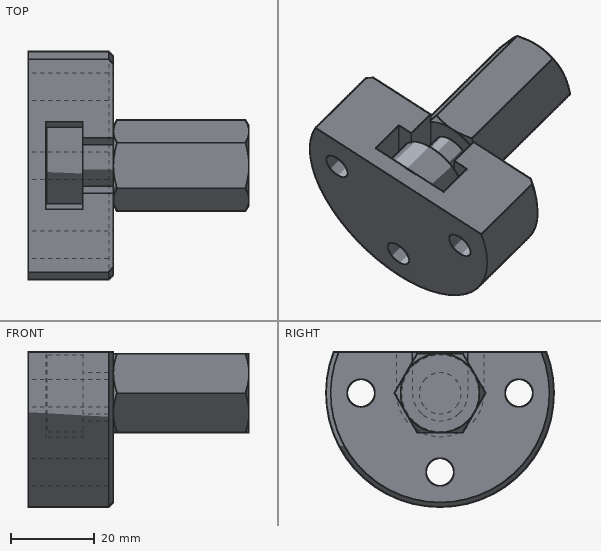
import cadquery as cq
import math

overall_length = 53.2

plate_diameter = 54.95
plate_radius = plate_diameter / 2
plate_thickness = 20.55
flat_height = 9.9
rim_chamfer = 1.15

hole_diameter = 6.6
hole_circle_radius = 19.0
hole_angles = (0, 180, 270)

back_wall = 4.3
head_slot_width = 21.0
head_slot_length = 8.9
neck_slot_width = 13.3

head_diameter = 18.5
head_gap = 0.2
neck_diameter = 10.0
hex_sides = 6
hex_across_flats = 19.0
hex_length = overall_length - plate_thickness
hex_chamfer_angle = 30.0

neck_start = back_wall + head_slot_length
neck_length = plate_thickness - neck_start
head_start = back_wall + head_gap
head_length = neck_start - head_start


def rod(diameter, start, length):
    """Cylinder on the X axis from x = start."""
    return cq.Workplane("YZ", origin=(start, 0, 0)).circle(diameter / 2).extrude(length)


def slot(width, start, length):
    """Slot with a round bottom on the axis and straight sides up to the flat."""
    channel = (
        cq.Workplane("YZ", origin=(start, 0, 0))
        .center(0, flat_height / 2)
        .rect(width, flat_height)
        .extrude(length)
    )
    return rod(width, start, length).union(channel)


def make_plate():
    disc = rod(plate_diameter, 0, plate_thickness).faces(">X").chamfer(rim_chamfer)
    above_flat = (
        cq.Workplane("XY", origin=(plate_thickness / 2, 0, flat_height))
        .rect(plate_thickness, plate_diameter)
        .extrude(plate_radius)
    )
    hole_points = [
        (
            hole_circle_radius * math.cos(math.radians(angle)),
            hole_circle_radius * math.sin(math.radians(angle)),
        )
        for angle in hole_angles
    ]
    holes = (
        cq.Workplane("YZ")
        .pushPoints(hole_points)
        .circle(hole_diameter / 2)
        .extrude(plate_thickness)
    )
    return (
        disc.cut(slot(head_slot_width, back_wall, head_slot_length))
        .cut(slot(neck_slot_width, neck_start, neck_length))
        .cut(above_flat)
        .cut(holes)
    )


def make_hex_shank():
    """Hexagon with flats at top and bottom, its corners coned off at both ends."""
    across_corners = hex_across_flats / math.cos(math.pi / hex_sides)
    hexagon = (
        cq.Workplane("YZ", origin=(plate_thickness, 0, 0))
        .polygon(hex_sides, across_corners)
        .extrude(hex_length)
    )
    cone_height = (across_corners - hex_across_flats) / 2
    cone_length = cone_height * math.tan(math.radians(hex_chamfer_angle))
    envelope = (
        rod(across_corners, plate_thickness, hex_length)
        .faces("<X or >X")
        .edges()
        .chamfer(cone_length, cone_height)
    )
    return hexagon.intersect(envelope)


def make_stud():
    head = rod(head_diameter, head_start, head_length)
    neck = rod(neck_diameter, neck_start, neck_length)
    return head.union(neck).union(make_hex_shank())


plate = make_plate()
stud = make_stud()
result = cq.Compound.makeCompound([plate.val(), stud.val()])